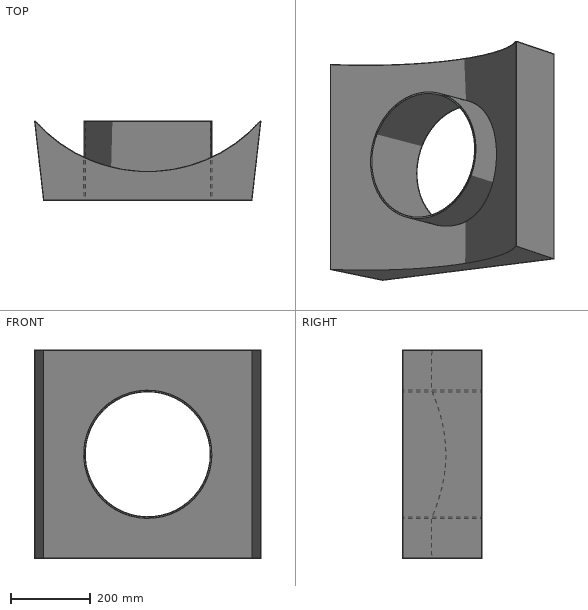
import cadquery as cq

block_height = 525.0
front_width = 525.0
back_width = 570.0
block_depth = 200.0
hollow_floor = 73.0

bevel_width = 1.5
bevel_depth = 1.2

sleeve_outer_diameter = 323.0
sleeve_wall = 4.0
sleeve_length = block_depth
sleeve_inner_diameter = sleeve_outer_diameter - 2 * sleeve_wall


def make_cylinder_along_y(diameter):
    """Solid cylinder starting on the front plane and running toward +Y."""
    return cq.Workplane("XZ").circle(diameter / 2).extrude(-sleeve_length)


def make_block():
    """Wedge-sided block with the round hollow and the hole for the sleeve."""
    half_front = front_width / 2
    half_shoulder = back_width / 2
    half_hollow = half_shoulder - bevel_width
    shoulder_depth = block_depth - bevel_depth
    outline = (
        cq.Workplane("XY")
        .moveTo(-half_front, 0)
        .lineTo(half_front, 0)
        .lineTo(half_shoulder, shoulder_depth)
        .lineTo(half_hollow, block_depth)
        .threePointArc((0, hollow_floor), (-half_hollow, block_depth))
        .lineTo(-half_shoulder, shoulder_depth)
        .close()
    )
    body = outline.extrude(block_height / 2, both=True)
    return body.cut(make_cylinder_along_y(sleeve_outer_diameter))


def make_sleeve():
    """Tube flush with the front face, standing free above the hollow."""
    bore = make_cylinder_along_y(sleeve_inner_diameter)
    return make_cylinder_along_y(sleeve_outer_diameter).cut(bore)


block = make_block()
sleeve = make_sleeve()

result = cq.Compound.makeCompound([block.val(), sleeve.val()])